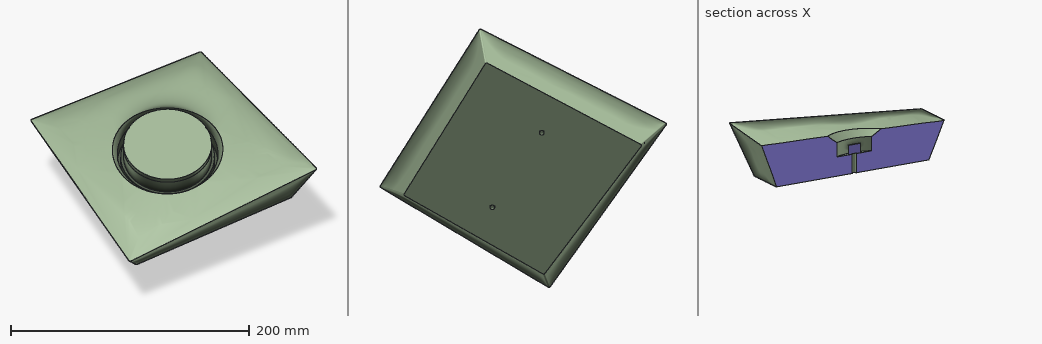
import cadquery as cq


base_corners = [(-69.6, -68.9, 0), (66.2, -72.6, 0), (74.6, 77.0, 0), (-65.8, 68.3, 0)]
top_corners = [(-85.0, -82.9, 40.0), (80.4, -87.8, 30.7), (89.7, 92.2, 45.0), (-80.2, 82.7, 25.4)]
corner_radius = 1.5
highest_corner = max(z for x, y, z in top_corners)

mouth_radius = 46.4
well_radius = 42.3
well_top = 30.0
well_floor = 17.5

vent_radius = 2.0
vent_distance = 38.8

knob_radius = 37.0
flange_radius = 39.4
flange_top = 25.9
cap_bottom = 39.2
cap_top = 43.3


def cylinder(radius, bottom, top, x=0):
    return cq.Workplane("XY", origin=(x, 0, bottom)).circle(radius).extrude(top - bottom)


def solid_from(faces):
    return cq.Workplane(cq.Solid.makeSolid(cq.Shell.makeShell(faces)))


def lines_between(starts, ends):
    return [cq.Edge.makeLine(cq.Vector(*start), cq.Vector(*end)) for start, end in zip(starts, ends)]


def closed_outline(corners):
    return lines_between(corners, corners[1:] + corners[:1])


def make_block():
    """Block bounded by a flat base, four twisted sides and a twisted top, with rounded corners."""
    base_edges = closed_outline(base_corners)
    top_edges = closed_outline(top_corners)
    front_left, front_right, back_right, back_left = top_corners
    front_edge, back_edge = lines_between([front_left, back_left], [front_right, back_right])

    base = cq.Face.makeFromWires(cq.Wire.assembleEdges(base_edges))
    sides = [cq.Face.makeRuledSurface(lower, upper) for lower, upper in zip(base_edges, top_edges)]
    top = cq.Face.makeRuledSurface(front_edge, back_edge)
    block = solid_from([base, *sides, top])

    rims = block.faces("<Z").edges().vals() + block.faces(">Z").edges().vals()
    corner_edges = [edge for edge in block.edges().vals() if not any(edge.isSame(rim) for rim in rims)]
    return block.newObject(corner_edges).fillet(corner_radius)


def make_mouth(block):
    """Funnel-shaped cutter: a level round rim below, a circle projected onto the twisted top above."""
    top_patch = block.intersect(cylinder(mouth_radius, well_top, highest_corner)).faces(">Z").val()
    mouth_edge = top_patch.outerWire().Edges()[0]
    well_rim = cq.Edge.makeCircle(well_radius, cq.Vector(0, 0, well_top))
    funnel = cq.Face.makeRuledSurface(well_rim, mouth_edge)
    bottom = cq.Face.makeFromWires(cq.Wire.assembleEdges([well_rim]))
    return solid_from([bottom, funnel, top_patch])


def make_housing():
    block = make_block()
    housing = block.cut(make_mouth(block))
    housing = housing.cut(cylinder(well_radius, well_floor, well_top))
    for x in (-vent_distance, vent_distance):
        housing = housing.cut(cylinder(vent_radius, 0, well_floor, x))
    return housing


def make_knob():
    flange = cylinder(flange_radius, well_floor, flange_top)
    disc = cylinder(knob_radius, flange_top, cap_bottom)
    return flange.union(disc)


def make_cap():
    return cylinder(knob_radius, cap_bottom, cap_top)


housing = make_housing()
knob = make_knob()
cap = make_cap()

result = cq.Compound.makeCompound([housing.val(), knob.val(), cap.val()])